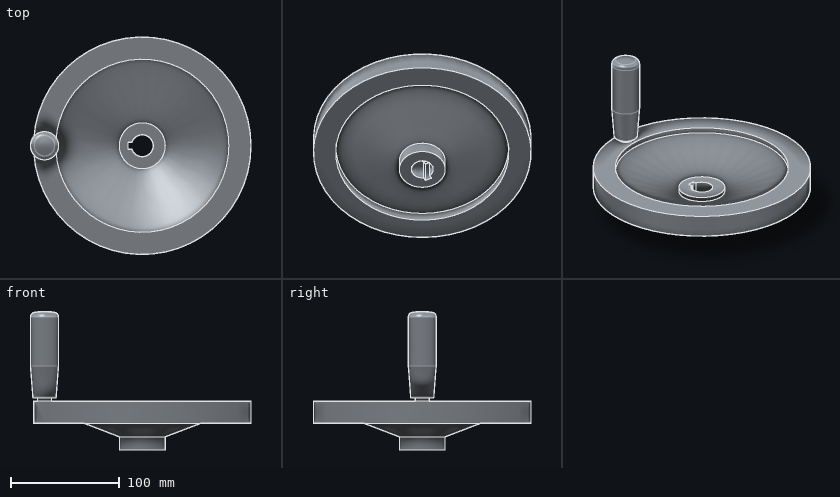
import cadquery as cq

rim_radius = 100.0
rim_inner_radius = 79.5
rim_bottom = 24.5
rim_top = 45.0

hub_radius = 21.0
hub_height = 24.3
bore_radius = 10.0
keyway_width = 6.0
keyway_reach = 13.0

web_upper_at_hub = 20.3
web_upper_at_rim = 40.0
web_lower_at_hub = 12.2
web_lower_slope = 0.38

handle_radius = 13.0
handle_offset = 89.8
handle_top = 127.5
handle_bottom = 47.8
taper_top = 77.5
taper_end_radius = 10.7
dome_radius = 50.0
crown_fillet = 4.5
foot_fillet = 1.0
neck_radius = 6.5


def make_wheel():
    """Revolve hub, web and rim as one section about the Z axis."""
    web_span = rim_inner_radius - hub_radius
    web_lower_at_rim = web_lower_at_hub + web_lower_slope * web_span
    section = (
        cq.Workplane("XZ")
        .moveTo(0, 0)
        .lineTo(hub_radius, 0)
        .lineTo(hub_radius, web_lower_at_hub)
        .lineTo(rim_inner_radius, web_lower_at_rim)
        .lineTo(rim_inner_radius, rim_bottom)
        .lineTo(rim_radius, rim_bottom)
        .lineTo(rim_radius, rim_top)
        .lineTo(rim_inner_radius, rim_top)
        .lineTo(rim_inner_radius, web_upper_at_rim)
        .lineTo(hub_radius, web_upper_at_hub)
        .lineTo(hub_radius, hub_height)
        .lineTo(0, hub_height)
        .close()
    )
    return section.revolve(360, (0, 0, 0), (0, 1, 0))


def make_bore():
    """Through bore with a keyway on its -X side."""
    bore = cq.Workplane("XY").circle(bore_radius).extrude(hub_height)
    keyway = (
        cq.Workplane("XY")
        .center(-keyway_reach / 2, 0)
        .rect(keyway_reach, keyway_width)
        .extrude(hub_height)
    )
    return bore.union(keyway)


def dome_height(radius):
    """Height of the spherical handle end at a distance from the handle axis."""
    return handle_top - dome_radius + (dome_radius**2 - radius**2) ** 0.5


def make_handle():
    """Tapered grip with a domed end, on a short neck set on the rim."""
    half_radius = handle_radius / 2
    grip = (
        cq.Workplane("XZ")
        .moveTo(0, handle_bottom)
        .lineTo(taper_end_radius, handle_bottom)
        .lineTo(handle_radius, taper_top)
        .lineTo(handle_radius, dome_height(handle_radius))
        .threePointArc((half_radius, dome_height(half_radius)), (0, handle_top))
        .close()
        .revolve(360, (0, 0, 0), (0, 1, 0))
    )
    grip = grip.faces("<Z").edges().fillet(foot_fillet)
    grip = grip.faces("%CYLINDER").edges(">Z").fillet(crown_fillet)
    neck = cq.Workplane("XY", origin=(0, 0, rim_top)).circle(neck_radius).extrude(handle_bottom - rim_top)
    return grip.union(neck).translate((-handle_offset, 0, 0))


result = make_wheel().cut(make_bore()).union(make_handle())